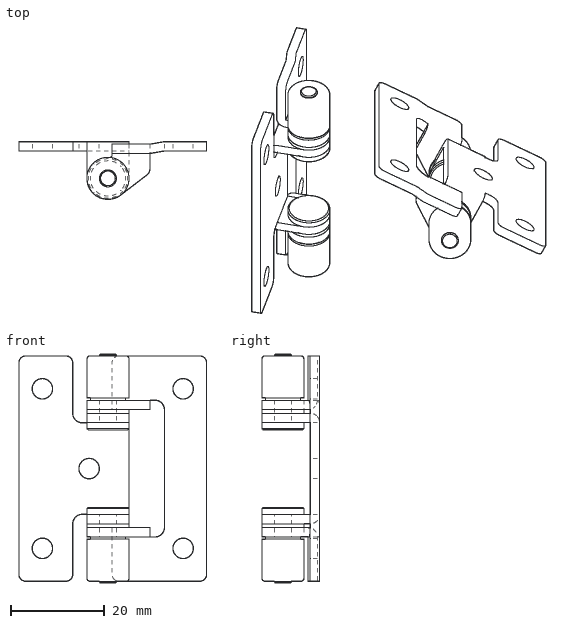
import cadquery as cq
import math


total_width = 40.0
total_height = 48.8
plate = 2.0
tip_length = 0.4
axis_x = -1.02
axis_y = -7.8
barrel_radius = 4.5
barrel_length = 9.0

half_width = total_width / 2
half_height = total_height / 2 - tip_length
corner_radius = 1.5
notch_radius = 2.0
hole_diameter = 4.3
hole_x = 15.0
hole_z = 17.0
middle_hole_x = -5.05

strip_edge_x = -8.5
tab_edge_x = axis_x + barrel_radius

arm_edge_x = -0.15
slot_edge_x = 11.0
joggle_depth = 0.5
joggle_start_x = 8.2
joggle_end_x = slot_edge_x
joggle_radius = 2.5
ear_edge_x = 7.95
ear_corner_y = -6.6
ear_corner_radius = 1.75
ear_root_radius = 0.5

neck_radius = 3.75
neck_length = 0.5
shank_radius = 1.8
head_radius = barrel_radius
head_thickness = 1.5
head_chamfer = 0.3
barrel_fillet = 0.7
tip_chamfer = 0.25
spacer_thickness = 0.8

barrel_bottom = half_height - barrel_length
right_ear_top = barrel_bottom - neck_length
right_ear_bottom = right_ear_top - plate
left_ear_top = right_ear_bottom - spacer_thickness
left_ear_bottom = left_ear_top - plate
head_bottom = left_ear_bottom - head_thickness


def slab(x_min, x_max, half_z, y_back, depth):
    """Box from x_min to x_max, centred on Z = 0, reaching forward from y_back."""
    return (
        cq.Workplane("XY")
        .box(x_max - x_min, depth, 2 * half_z, centered=(False, False, True))
        .translate((x_min, y_back - depth, 0))
    )


def axial_cylinder(radius, z_bottom, z_top):
    """Cylinder on the hinge axis."""
    return (
        cq.Workplane("XY", origin=(axis_x, axis_y, z_bottom))
        .circle(radius)
        .extrude(z_top - z_bottom)
    )


def screw_holes(points):
    """Cutter for screw holes through a plate at the given (x, z) points."""
    return (
        cq.Workplane("XZ", origin=(0, plate, 0))
        .pushPoints(points)
        .circle(hole_diameter / 2)
        .extrude(3 * plate)
    )


def with_mirror_image(shape):
    """The shape united with its mirror image below Z = 0."""
    return shape.union(shape.mirror("XY"))


def edge_at(x, z):
    """Selector for the edge through the plate thickness at (x, z)."""
    reach = 0.05
    return cq.selectors.BoxSelector(
        (x - reach, -2 * plate, z - reach), (x + reach, plate, z + reach)
    )


def rounded(shape, radius, corners):
    """Round the edges through the plate thickness at the given (x, z) corners."""
    for x, z in corners:
        for side in (1, -1):
            shape = shape.edges(edge_at(x, side * z)).fillet(radius)
    return shape


def rounded_bend(ear, y_back, z_bottom, z_inside):
    """Round the back of an ear by the sheet thickness, about the inside corner of its bend."""
    corner = (
        cq.Workplane("XY")
        .box(total_width, plate, plate, centered=(True, False, False))
        .translate((0, y_back - plate, z_bottom))
    )
    bend = (
        cq.Workplane("YZ", origin=(-half_width, 0, 0))
        .center(y_back - plate, z_inside)
        .circle(plate)
        .extrude(total_width)
    )
    return ear.cut(corner.cut(bend))


def left_ear():
    """Upper ear of the left leaf, bent forward from the top of the tab."""
    ear_left_x = axis_x - barrel_radius
    ear = (
        cq.Workplane("XY", origin=(0, 0, left_ear_bottom))
        .moveTo(ear_left_x, 0)
        .lineTo(ear_left_x, axis_y)
        .threePointArc((axis_x, axis_y - barrel_radius), (tab_edge_x, axis_y))
        .lineTo(tab_edge_x, 0)
        .close()
        .extrude(plate)
    )
    ear = rounded_bend(ear, 0, left_ear_bottom, left_ear_bottom)
    return ear.cut(axial_cylinder(shank_radius, left_ear_bottom, left_ear_top))


def left_leaf():
    strip = slab(-half_width, strip_edge_x, half_height, 0, plate)
    tab = slab(strip_edge_x, tab_edge_x, left_ear_bottom, 0, plate)
    leaf = strip.union(tab)
    leaf = rounded(leaf, corner_radius, [(-half_width, half_height), (strip_edge_x, half_height)])
    leaf = rounded(leaf, notch_radius, [(strip_edge_x, left_ear_bottom)])
    leaf = leaf.union(with_mirror_image(left_ear()))
    return leaf.cut(screw_holes([(-hole_x, hole_z), (-hole_x, -hole_z), (middle_hole_x, 0)]))


def joggled_plate():
    """Full-height plate of the right leaf, with its arm side set forward."""
    bend_angle = math.atan2(joggle_depth, joggle_end_x - joggle_start_x)
    back_shift = plate * math.tan(bend_angle / 2)
    front_bend = (joggle_start_x, -joggle_depth - plate)
    back_bend = (joggle_end_x - back_shift, 0)
    profile = [
        (arm_edge_x, -joggle_depth - plate),
        front_bend,
        (joggle_end_x, -plate),
        (half_width, -plate),
        (half_width, 0),
        back_bend,
        (joggle_start_x - back_shift, -joggle_depth),
        (arm_edge_x, -joggle_depth),
    ]
    body = (
        cq.Workplane("XY", origin=(0, 0, -half_height))
        .polyline(profile)
        .close()
        .extrude(2 * half_height)
    )
    for x, y in (front_bend, back_bend):
        body = body.edges(cq.selectors.NearestToPointSelector((x, y, 0))).fillet(joggle_radius)
    return body


def right_ear_outline():
    """Ear plan: a round end about the axis, joined to a straight root at the arm."""
    root_x = arm_edge_x - ear_root_radius
    root_reach = barrel_radius + ear_root_radius
    root_y = axis_y + math.sqrt(root_reach**2 - (root_x - axis_x) ** 2)
    root_share = barrel_radius / root_reach
    root_end = (axis_x + (root_x - axis_x) * root_share, axis_y + (root_y - axis_y) * root_share)
    root_angle = math.atan2(axis_y - root_y, axis_x - root_x) / 2
    root_middle = (
        root_x + ear_root_radius * math.cos(root_angle),
        root_y + ear_root_radius * math.sin(root_angle),
    )
    corner_dx = ear_edge_x - axis_x
    corner_dy = ear_corner_y - axis_y
    tangent_angle = math.atan2(corner_dy, corner_dx) - math.acos(
        barrel_radius / math.hypot(corner_dx, corner_dy)
    )
    tangent = (
        axis_x + barrel_radius * math.cos(tangent_angle),
        axis_y + barrel_radius * math.sin(tangent_angle),
    )
    return (
        cq.Workplane("XY", origin=(0, 0, right_ear_bottom))
        .moveTo(arm_edge_x, -joggle_depth)
        .lineTo(arm_edge_x, root_y)
        .threePointArc(root_middle, root_end)
        .threePointArc((axis_x - barrel_radius, axis_y), tangent)
        .lineTo(ear_edge_x, ear_corner_y)
        .lineTo(ear_edge_x, -joggle_depth)
        .close()
    )


def right_ear():
    """Upper ear of the right leaf, bent forward from the bottom of the upper arm."""
    ear = right_ear_outline().extrude(plate)
    ear_middle_z = right_ear_bottom + plate / 2
    corner = cq.selectors.NearestToPointSelector((ear_edge_x, ear_corner_y, ear_middle_z))
    ear = ear.edges(corner).fillet(ear_corner_radius)
    ear = rounded_bend(ear, -joggle_depth, right_ear_bottom, right_ear_top)
    return ear.cut(axial_cylinder(shank_radius, right_ear_bottom, right_ear_top))


def right_leaf():
    slot = slab(arm_edge_x, slot_edge_x, right_ear_top, plate, 4 * plate)
    slot = slot.edges("|Y and >X").fillet(notch_radius)
    leaf = joggled_plate()
    leaf = rounded(leaf, corner_radius, [(arm_edge_x, half_height), (half_width, half_height)])
    leaf = leaf.cut(slot).union(with_mirror_image(right_ear()))
    return leaf.cut(screw_holes([(hole_x, hole_z), (hole_x, -hole_z)]))


def hinge_pin():
    """Upper pin: barrel with a neck and tip, and a shank through both ears to a head."""
    barrel = axial_cylinder(barrel_radius, barrel_bottom, half_height)
    barrel = barrel.faces(">Z").edges().fillet(barrel_fillet)
    head = axial_cylinder(head_radius, head_bottom, left_ear_bottom)
    head = head.faces("<Z").edges().chamfer(head_chamfer)
    shank = axial_cylinder(shank_radius, head_bottom, total_height / 2)
    shank = shank.faces(">Z").edges().chamfer(tip_chamfer)
    neck = axial_cylinder(neck_radius, right_ear_top, barrel_bottom)
    return barrel.union(neck).union(shank).union(head)


def spacer():
    """Upper spacer ring, between the left and right ears."""
    ring = axial_cylinder(barrel_radius, left_ear_top, right_ear_bottom)
    return ring.cut(axial_cylinder(shank_radius, left_ear_top, right_ear_bottom))


bodies = [left_leaf().solids().val(), right_leaf().solids().val()]
for upper_body in (hinge_pin(), spacer()):
    bodies.append(upper_body.solids().val())
    bodies.append(upper_body.mirror("XY").solids().val())

result = cq.Compound.makeCompound(bodies)